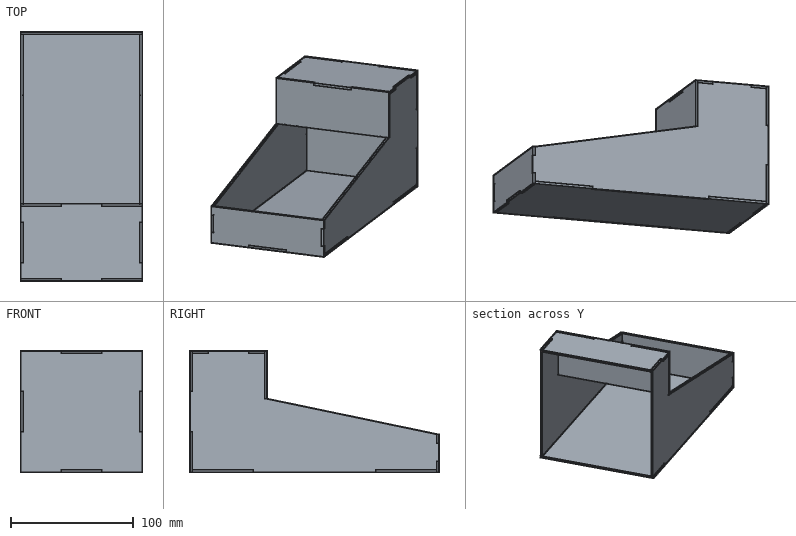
import cadquery as cq

LENGTH = 203.0
WIDTH = 99.0
HEIGHT = 99.0
THICKNESS = 2.0
LID_DEPTH = 63.0
DIVIDER_BOTTOM_Z = 60.0
REAR_HEIGHT = 31.3

FINGER = WIDTH / 3
FLOOR_SIDE_FINGER = 100.0
REAR_FINGER_BOTTOM_Z = 9.1
REAR_FINGER_TOP_Z = 24.0

HALF_WIDTH = WIDTH / 2
INNER_HALF_WIDTH = HALF_WIDTH - THICKNESS
FLOOR_TOP_Z = THICKNESS
LID_BOTTOM_Z = HEIGHT - THICKNESS
FRONT_INNER_Y = THICKNESS
REAR_INNER_Y = LENGTH - THICKNESS
DIVIDER_INNER_Y = LID_DEPTH - THICKNESS


def block(x_range, y_range, z_range):
    """Box that fills the given (low, high) ranges."""
    size = [high - low for low, high in (x_range, y_range, z_range)]
    corner = (x_range[0], y_range[0], z_range[0])
    return cq.Workplane("XY").box(*size, centered=False).translate(corner)


def centred(middle, size):
    """Range of the given size around its middle."""
    return (middle - size / 2, middle + size / 2)


FULL_X = (-HALF_WIDTH, HALF_WIDTH)
SIDE_X_RANGES = [(-HALF_WIDTH, -INNER_HALF_WIDTH), (INNER_HALF_WIDTH, HALF_WIDTH)]
FINGER_X = centred(0, FINGER)

FRONT_Y = (0, FRONT_INNER_Y)
DIVIDER_Y = (DIVIDER_INNER_Y, LID_DEPTH)
REAR_Y = (REAR_INNER_Y, LENGTH)
FLOOR_FINGER_Y = centred(LENGTH / 2, FLOOR_SIDE_FINGER)
LID_FINGER_Y = centred(LID_DEPTH / 2, FINGER)

FLOOR_Z = (0, FLOOR_TOP_Z)
LID_Z = (LID_BOTTOM_Z, HEIGHT)
FRONT_FINGER_Z = centred(HEIGHT / 2, FINGER)
REAR_FINGER_Z = (REAR_FINGER_BOTTOM_Z, REAR_FINGER_TOP_Z)


def floor_fingers():
    """Fingers of the floor that pass through the front and rear panels."""
    return block(FINGER_X, FRONT_Y, FLOOR_Z).union(block(FINGER_X, REAR_Y, FLOOR_Z))


def lid_fingers():
    """Fingers of the lid that pass through the front panel and the divider."""
    return block(FINGER_X, FRONT_Y, LID_Z).union(block(FINGER_X, DIVIDER_Y, LID_Z))


def side_fingers(side_x):
    """Fingers of one side panel, in the front panel, rear panel, floor and lid."""
    fingers = block(side_x, FRONT_Y, FRONT_FINGER_Z)
    fingers = fingers.union(block(side_x, REAR_Y, REAR_FINGER_Z))
    fingers = fingers.union(block(side_x, FLOOR_FINGER_Y, FLOOR_Z))
    return fingers.union(block(side_x, LID_FINGER_Y, LID_Z))


def cut_side_notches(panel):
    """Remove the room taken by the fingers of both side panels."""
    for side_x in SIDE_X_RANGES:
        panel = panel.cut(side_fingers(side_x))
    return panel


def make_side_panel(side_x):
    """Stepped wall with a sloping rear edge, plus its fingers."""
    outline = [
        (FRONT_INNER_Y, FLOOR_TOP_Z),
        (REAR_INNER_Y, FLOOR_TOP_Z),
        (REAR_INNER_Y, REAR_HEIGHT),
        (LID_DEPTH, DIVIDER_BOTTOM_Z),
        (DIVIDER_INNER_Y, DIVIDER_BOTTOM_Z),
        (DIVIDER_INNER_Y, LID_BOTTOM_Z),
        (FRONT_INNER_Y, LID_BOTTOM_Z),
    ]
    wall = cq.Workplane("YZ", origin=(side_x[0], 0, 0)).polyline(outline).close().extrude(THICKNESS)
    return wall.union(side_fingers(side_x))


def make_front_panel():
    """Full square panel, notched in the middle of each edge."""
    panel = block(FULL_X, FRONT_Y, (0, HEIGHT))
    return cut_side_notches(panel).cut(floor_fingers()).cut(lid_fingers())


def make_rear_panel():
    """Low panel, notched at both sides and at the bottom."""
    panel = block(FULL_X, REAR_Y, (0, REAR_HEIGHT))
    return cut_side_notches(panel).cut(floor_fingers())


def make_divider():
    """Upright panel behind the lid, resting on the steps of the side panels."""
    return block(FULL_X, DIVIDER_Y, (DIVIDER_BOTTOM_Z, HEIGHT)).cut(lid_fingers())


def make_floor():
    """Bottom panel between the front and rear panels, with a finger into each."""
    panel = block(FULL_X, (FRONT_INNER_Y, REAR_INNER_Y), FLOOR_Z)
    return cut_side_notches(panel).union(floor_fingers())


def make_lid():
    """Top panel between the front panel and the divider, with a finger into each."""
    panel = block(FULL_X, (FRONT_INNER_Y, DIVIDER_INNER_Y), LID_Z)
    return cut_side_notches(panel).union(lid_fingers())


front_panel = make_front_panel()
rear_panel = make_rear_panel()
divider = make_divider()
floor_panel = make_floor()
lid = make_lid()
side_panels = [make_side_panel(side_x) for side_x in SIDE_X_RANGES]

result = cq.Compound.makeCompound([
    front_panel.val(),
    rear_panel.val(),
    divider.val(),
    floor_panel.val(),
    lid.val(),
    *[panel.val() for panel in side_panels],
])